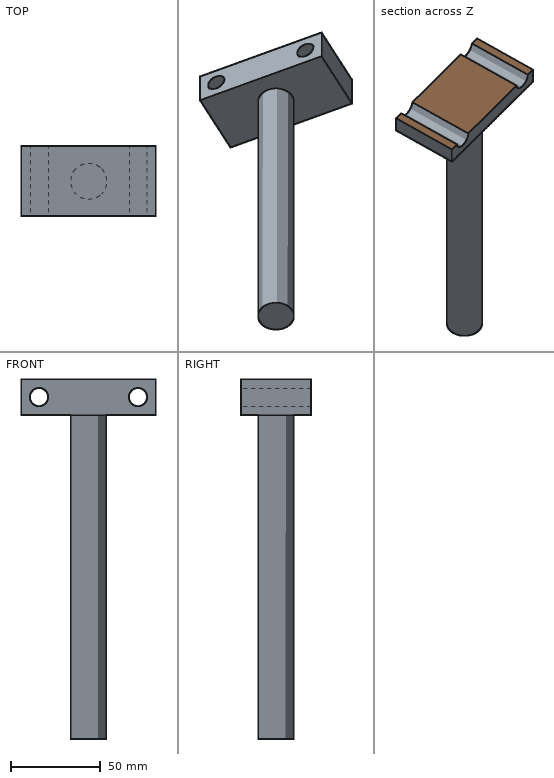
import cadquery as cq

total_height = 200.0
head_width = 75.0
head_depth = 39.0
head_height = 20.0
shaft_diameter = 20.0
hole_diameter = 10.0
hole_edge_distance = 10.0

shaft_length = total_height - head_height
hole_spacing = head_width - 2 * hole_edge_distance
hole_height = shaft_length + head_height / 2


def make_shaft():
    """Round shaft standing on the XY plane, centred on the Z axis."""
    return cq.Workplane("XY").circle(shaft_diameter / 2).extrude(shaft_length)


def make_head():
    """Rectangular head resting on the top end of the shaft."""
    return (
        cq.Workplane("XY")
        .workplane(offset=shaft_length)
        .rect(head_width, head_depth)
        .extrude(head_height)
    )


def make_cross_holes():
    """Two cylinders along Y, one near each end of the head, at its mid-height."""
    return (
        cq.Workplane("XZ")
        .center(0, hole_height)
        .rarray(hole_spacing, 1, 2, 1)
        .circle(hole_diameter / 2)
        .extrude(head_depth / 2, both=True)
    )


result = make_shaft().union(make_head()).cut(make_cross_holes())